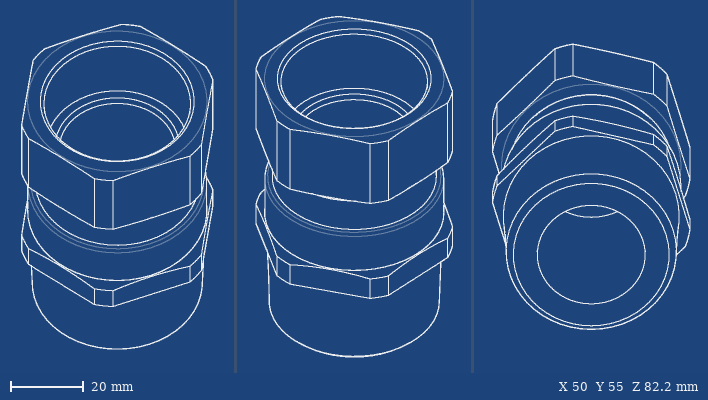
import cadquery as cq
import math

HEX_FLATS = 50.0
HEX_CORNER_DIA = 55.0
HEX_FACE_RADIUS = 24.7

THREAD_TOP_Z = 26.0
BODY_HEX_TOP_Z = 34.0
COLLAR_TOP_Z = 47.0
BARREL_TOP_Z = 57.25
NUT_HEX_BOTTOM_Z = 59.75
SPIGOT_TOP_Z = 62.25
NUT_TOP_Z = 82.25

THREAD_TAPER = 1.0 / 32.0
THREAD_TOP_RADIUS = 24.2
THREAD_END_CHAMFER = 2.0
COLLAR_RADIUS = 24.65
COLLAR_FILLET = 0.8
BARREL_RADIUS = 22.6
BODY_HEX_BEVEL_ANGLE = 20.0

PASSAGE_TOP_RADIUS = 16.0
PASSAGE_BOTTOM_RADIUS = 14.85
PASSAGE_CHAMFER = 1.1

SOCKET_TOP_RADIUS = 20.2
SOCKET_BOTTOM_RADIUS = SOCKET_TOP_RADIUS - (NUT_TOP_Z - SPIGOT_TOP_Z) * THREAD_TAPER
SOCKET_CHAMFER = 1.0
SPIGOT_RADIUS = SOCKET_BOTTOM_RADIUS
NECK_RADIUS = 21.6
NUT_HEX_BEVEL_ANGLE = 10.0


def revolved(profile):
    """Solid of revolution about Z from (radius, height) points."""
    return cq.Workplane("XZ").polyline(profile).close().revolve(360, (0, 0), (0, 1))


def hexagon(bottom_z, top_z, bevel_angle, bevel_bottom):
    """Hexagon with flats facing +-X and round, bevelled corners."""
    corner_radius = HEX_CORNER_DIA / 2
    bevel_drop = (corner_radius - HEX_FACE_RADIUS) * math.tan(math.radians(bevel_angle))
    envelope = [
        (0, top_z),
        (HEX_FACE_RADIUS, top_z),
        (corner_radius, top_z - bevel_drop),
    ]
    if bevel_bottom:
        envelope += [
            (corner_radius, bottom_z + bevel_drop),
            (HEX_FACE_RADIUS, bottom_z),
        ]
    else:
        envelope.append((corner_radius, bottom_z))
    envelope.append((0, bottom_z))

    across_corners = HEX_FLATS / math.cos(math.radians(30))
    prism = (
        cq.Workplane("XY")
        .workplane(offset=bottom_z)
        .polygon(6, across_corners)
        .extrude(top_z - bottom_z)
        .rotate((0, 0, 0), (0, 0, 1), 30)
    )
    return prism.intersect(revolved(envelope))


def make_body():
    thread_bottom_radius = THREAD_TOP_RADIUS - (THREAD_TOP_Z - THREAD_END_CHAMFER) * THREAD_TAPER
    thread = revolved([
        (0, 0),
        (thread_bottom_radius - THREAD_END_CHAMFER, 0),
        (thread_bottom_radius, THREAD_END_CHAMFER),
        (THREAD_TOP_RADIUS, THREAD_TOP_Z),
        (0, THREAD_TOP_Z),
    ])
    collar = (
        cq.Workplane("XY")
        .workplane(offset=THREAD_TOP_Z)
        .circle(COLLAR_RADIUS)
        .extrude(COLLAR_TOP_Z - THREAD_TOP_Z)
        .faces(">Z")
        .edges()
        .fillet(COLLAR_FILLET)
    )
    barrel_and_spigot = revolved([
        (0, THREAD_TOP_Z),
        (BARREL_RADIUS, THREAD_TOP_Z),
        (BARREL_RADIUS, BARREL_TOP_Z),
        (SPIGOT_RADIUS, BARREL_TOP_Z),
        (SPIGOT_RADIUS, SPIGOT_TOP_Z),
        (0, SPIGOT_TOP_Z),
    ])
    passage = revolved([
        (0, 0),
        (PASSAGE_BOTTOM_RADIUS, 0),
        (PASSAGE_TOP_RADIUS, SPIGOT_TOP_Z - PASSAGE_CHAMFER),
        (PASSAGE_TOP_RADIUS + PASSAGE_CHAMFER, SPIGOT_TOP_Z),
        (0, SPIGOT_TOP_Z),
    ])
    body_hexagon = hexagon(THREAD_TOP_Z, BODY_HEX_TOP_Z, BODY_HEX_BEVEL_ANGLE, bevel_bottom=False)
    return thread.union(body_hexagon).union(collar).union(barrel_and_spigot).cut(passage)


def make_nut():
    neck = (
        cq.Workplane("XY")
        .workplane(offset=BARREL_TOP_Z)
        .circle(NECK_RADIUS)
        .extrude(NUT_TOP_Z - BARREL_TOP_Z)
    )
    chamfer_bottom_z = NUT_TOP_Z - SOCKET_CHAMFER
    chamfer_bottom_radius = SOCKET_TOP_RADIUS - SOCKET_CHAMFER * THREAD_TAPER
    bore = revolved([
        (0, BARREL_TOP_Z),
        (SPIGOT_RADIUS, BARREL_TOP_Z),
        (SOCKET_BOTTOM_RADIUS, SPIGOT_TOP_Z),
        (chamfer_bottom_radius, chamfer_bottom_z),
        (chamfer_bottom_radius + SOCKET_CHAMFER, NUT_TOP_Z),
        (0, NUT_TOP_Z),
    ])
    nut_hexagon = hexagon(NUT_HEX_BOTTOM_Z, NUT_TOP_Z, NUT_HEX_BEVEL_ANGLE, bevel_bottom=True)
    return nut_hexagon.union(neck).cut(bore)


body = make_body()
nut = make_nut()

result = cq.Compound.makeCompound([body.val(), nut.val()])